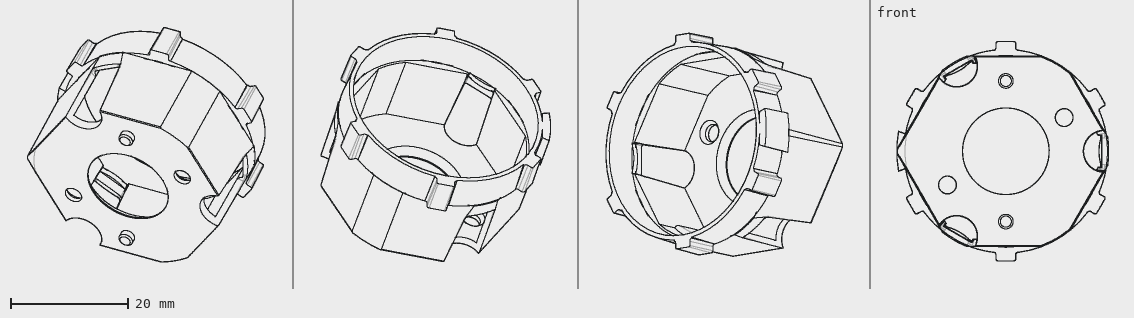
import cadquery as cq
import math


rim_length = 6.0
rim_inner_radius = 16.35
rim_rear_radius = 17.1
rim_middle_radius = 17.2
rim_front_radius = 17.4

tab_tip_height = 18.745
tab_width = 3.4
tab_root_height = 16.7
tab_corner_radius = 0.35
tab_root_fillet = 0.4
tab_draft = 1.3
tab_angles = range(30, 360, 60)

key_radius = 18.65
key_tip_half_width = 3.43
key_root_half_width = 2.95
key_root_x = 17.0
key_draft = 0.7

body_length = 14.64
body_apothem = 16.29
body_draft = 0.5
corner_rear_radius = 17.35
corner_front_radius = 17.2
left_corner_radius = 18.5
left_corner_half_width = 4.0
edge_chamfer_height = 0.24
edge_chamfer_slope = 20.0

wall_thickness = 1.3
floor_thickness = 1.65
cavity_apothem = body_apothem - wall_thickness
cavity_corner_radius = 15.95
cavity_depth = body_length - floor_thickness

window_angles = (0, 120, 240)
lip_length = 2.75
lip_rear_radius = 17.58
lip_front_radius = 17.33
lip_half_width = 3.2
window_center_radius = 16.8
window_front_radius = 3.6
window_draft = 3.0
window_corner_fillet = 0.75
window_length = body_length - lip_length
window_rear_radius = window_front_radius - window_length * math.tan(math.radians(window_draft))
window_outer_reach = 21.0
lip_wall_distance = 16.3
lip_wall_draft = 3.0
lip_pocket_start = 14.0
lip_pocket_half_width = 2.65
ledge_distance = 15.88
ledge_arc_radius = 8.0
ledge_thickness = 1.0

pad_angle = 300
pad_distance = 15.3
pad_rise = 0.65
pad_ramp_length = 2.0
pad_start = 3.85
pad_half_width = 4.0

bore_diameter = 14.75
hole_diameter = 3.0
hole_circle_radius = 11.5
bore_land = 0.25
hole_land = 0.85
hole_flare_angle = 36.0
hole_angles = (30, 210)
pin_diameter = 2.5
pin_length = 1.3
pin_chamfer = 0.3
pin_offset = 12.0


def plane_at(y):
    """Workplane across the Y axis; local axes are X and Z, extruding toward -Y."""
    return cq.Workplane("XZ", origin=(0, y, 0))


def cone(rear_y, length, rear_radius, front_radius):
    """Round frustum on the Y axis, running from rear_y toward -Y."""
    start = cq.Vector(0, rear_y, 0)
    toward_front = cq.Vector(0, -1, 0)
    if rear_radius == front_radius:
        return cq.Workplane(cq.Solid.makeCylinder(rear_radius, length, start, toward_front))
    return cq.Workplane(cq.Solid.makeCone(rear_radius, front_radius, length, start, toward_front))


def turn(shape, angle):
    """Turn a shape built along +X to the given angle, from +X toward +Z."""
    return shape.rotate((0, 0, 0), (0, -1, 0), angle)


def hexagon(apothem, y):
    """Hexagon with corners on the X axis and flats at the top and bottom."""
    return plane_at(y).polygon(6, 2 * apothem / math.cos(math.radians(30)))


def slab(rear_y, length, inner, outer, half_width):
    """Box along +X between two distances from the axis."""
    return (
        plane_at(rear_y)
        .center((inner + outer) / 2, 0)
        .rect(outer - inner, 2 * half_width)
        .extrude(length)
    )


def make_tab():
    """Tab along +X with rounded tip corners and hollow root fillets, narrowing to the rear."""
    half_width = tab_width / 2
    foot_half_width = half_width + tab_root_fillet
    foot_height = math.sqrt(rim_front_radius**2 - foot_half_width**2)
    shoulder_height = tab_tip_height - tab_corner_radius
    tip_half_width = half_width - tab_corner_radius
    bulge = math.sqrt(0.5)
    corner_mid = (shoulder_height + bulge * tab_corner_radius, tip_half_width + bulge * tab_corner_radius)
    fillet_mid = (
        foot_height + (1 - bulge) * tab_root_fillet,
        half_width + (1 - bulge) * tab_root_fillet,
    )
    return (
        plane_at(0)
        .moveTo(tab_root_height, foot_half_width)
        .lineTo(foot_height, foot_half_width)
        .threePointArc(fillet_mid, (foot_height + tab_root_fillet, half_width))
        .lineTo(shoulder_height, half_width)
        .threePointArc(corner_mid, (tab_tip_height, tip_half_width))
        .lineTo(tab_tip_height, -tip_half_width)
        .threePointArc((corner_mid[0], -corner_mid[1]), (shoulder_height, -half_width))
        .lineTo(foot_height + tab_root_fillet, -half_width)
        .threePointArc((fillet_mid[0], -fillet_mid[1]), (foot_height, -foot_half_width))
        .lineTo(tab_root_height, -foot_half_width)
        .close()
        .extrude(-rim_length, taper=tab_draft)
    )


def make_key():
    """Wide curved-top key on the -X side of the rim."""
    tip_x = -math.sqrt(key_radius**2 - key_tip_half_width**2)
    return (
        plane_at(0)
        .moveTo(-key_root_x, key_root_half_width)
        .lineTo(tip_x, key_tip_half_width)
        .threePointArc((-key_radius, 0), (tip_x, -key_tip_half_width))
        .lineTo(-key_root_x, -key_root_half_width)
        .close()
        .extrude(-rim_length, taper=key_draft)
    )


def make_rim():
    """Ring whose outside flares smoothly to the front, with tabs, a key and a round bore."""
    rim = (
        cq.Workplane("XY")
        .lineTo(0, rim_length)
        .lineTo(rim_rear_radius, rim_length)
        .threePointArc((rim_middle_radius, rim_length / 2), (rim_front_radius, 0))
        .close()
        .revolve(360, (0, 0, 0), (0, 1, 0))
    )
    for angle in tab_angles:
        rim = rim.union(turn(make_tab(), angle))
    rim = rim.union(make_key())
    return rim.cut(cone(rim_length, rim_length, rim_inner_radius, rim_inner_radius))


def make_body_blank():
    """Drafted hexagon with its corners rounded off at three different radii."""
    envelope = cone(0, body_length, corner_rear_radius, corner_front_radius)
    lip_ring = cone(0, lip_length, lip_rear_radius, lip_front_radius)
    for angle in window_angles:
        lip_zone = slab(0, lip_length, 0, window_outer_reach, lip_half_width)
        envelope = envelope.union(lip_ring.intersect(turn(lip_zone, angle)))
    corner_zone = turn(slab(0, body_length, 0, window_outer_reach, left_corner_half_width), 180)
    edge_y = edge_chamfer_height - body_length
    left_corner = cone(0, -edge_y, left_corner_radius, left_corner_radius)
    left_corner = left_corner.union(
        cone(edge_y, edge_chamfer_height, left_corner_radius, corner_front_radius)
    )
    envelope = envelope.union(left_corner.intersect(corner_zone))
    main = hexagon(body_apothem, 0).extrude(-edge_y, taper=body_draft)
    edge_apothem = body_apothem + edge_y * math.tan(math.radians(body_draft))
    edge = hexagon(edge_apothem, edge_y).extrude(edge_chamfer_height, taper=edge_chamfer_slope)
    return main.union(edge).intersect(envelope)


def make_cavity():
    """Hexagonal cavity with its corners rounded off."""
    bounds = cone(0, cavity_depth, cavity_corner_radius, cavity_corner_radius)
    return hexagon(cavity_apothem, 0).extrude(cavity_depth).intersect(bounds)


def make_lip_pocket():
    """Cutter that flattens the inside of the lip behind a window."""
    return (
        plane_at(0)
        .center((lip_pocket_start + lip_wall_distance) / 2, 0)
        .rect(lip_wall_distance - lip_pocket_start, 2 * lip_pocket_half_width)
        .extrude(lip_length + window_corner_fillet, taper=-lip_wall_draft)
    )


def make_window():
    """U-shaped cutter that widens toward the front, with rounded rear corners."""
    window = (
        plane_at(-lip_length)
        .moveTo(window_outer_reach, window_rear_radius)
        .lineTo(window_center_radius, window_rear_radius)
        .threePointArc(
            (window_center_radius - window_rear_radius, 0),
            (window_center_radius, -window_rear_radius),
        )
        .lineTo(window_outer_reach, -window_rear_radius)
        .close()
        .extrude(window_length, taper=-window_draft)
    )
    return window.faces(">Y").edges("not >X").fillet(window_corner_fillet)


def make_ledge():
    """Lens-shaped ledge behind a window, bulging toward the axis."""
    ledge = (
        plane_at(0)
        .center(ledge_distance + ledge_arc_radius, 0)
        .circle(ledge_arc_radius)
        .extrude(ledge_thickness)
    )
    return ledge.intersect(cone(0, ledge_thickness, rim_rear_radius, rim_rear_radius))


def make_pad():
    """Flat pad inside a corner, with a curved ramp at its rear end."""
    base = pad_distance + pad_rise
    backing = corner_front_radius - wall_thickness / 2
    ramp_angle = 2 * math.atan(pad_rise / pad_ramp_length)
    ramp_radius = pad_ramp_length / math.sin(ramp_angle)
    flat_start = -pad_start - pad_ramp_length
    mid_run = ramp_radius * math.sin(ramp_angle / 2)
    mid_drop = ramp_radius * (1 - math.cos(ramp_angle / 2))
    pad = (
        cq.Workplane("XY")
        .moveTo(base, -pad_start)
        .threePointArc((pad_distance + mid_drop, flat_start + mid_run), (pad_distance, flat_start))
        .lineTo(pad_distance, -cavity_depth)
        .lineTo(backing, -cavity_depth)
        .lineTo(backing, -pad_start)
        .close()
        .extrude(pad_half_width, both=True)
    )
    return turn(pad, pad_angle)


def make_pin():
    """Chamfered locating pin on the outside of the floor."""
    pin = plane_at(-body_length).circle(pin_diameter / 2).extrude(pin_length)
    return pin.faces("<Y").chamfer(pin_chamfer)


def make_hole(diameter, land):
    """Cutter for a floor hole: a cylindrical land, then a cone opening into the cavity."""
    radius = diameter / 2
    depth = floor_thickness - land
    flared_radius = radius + depth * math.tan(math.radians(hole_flare_angle))
    flare = cone(-cavity_depth, depth, flared_radius, radius)
    return flare.union(cone(-cavity_depth - depth, land, radius, radius))


def make_body():
    """Hollow body with its windows, ledges, pad, floor holes and pins."""
    blank = make_body_blank()
    body = blank.cut(make_cavity()).union(make_pad().intersect(blank))
    for angle in window_angles:
        body = body.cut(turn(make_window(), angle)).cut(turn(make_lip_pocket(), angle))
        body = body.union(turn(make_ledge(), angle))
    body = body.cut(make_hole(bore_diameter, bore_land))
    hole = make_hole(hole_diameter, hole_land).translate((hole_circle_radius, 0, 0))
    for angle in hole_angles:
        body = body.cut(turn(hole, angle))
    for side in (-1, 1):
        body = body.union(make_pin().translate((0, 0, side * pin_offset)))
    return body


result = make_rim().union(make_body())